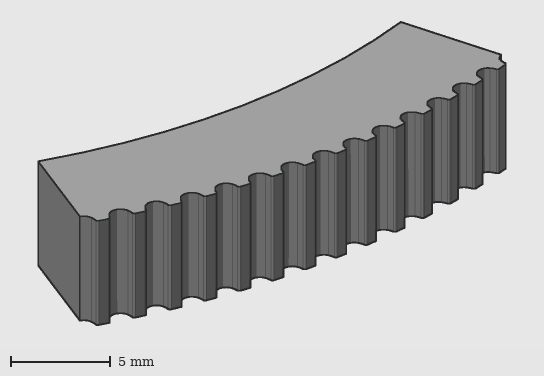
import cadquery as cq
import math

sweep_angle = 36.0
inner_radius = 37.5
outer_radius = 44.31
height = 6.0

pitch_count = 14
groove_radius = 0.56
groove_depth = 0.75
flank_radius = 1.0
flank_centre_offset = 0.38
lip_radius = 0.13

pitch_angle = sweep_angle / pitch_count
groove_centre_radius = outer_radius - groove_depth + groove_radius


def polar(radius, angle):
    """Point at a radius and an angle in degrees from +X."""
    turn = math.radians(angle)
    return radius * math.cos(turn), radius * math.sin(turn)


def make_segment():
    middle_angle = sweep_angle / 2
    return (
        cq.Workplane("XY")
        .moveTo(*polar(inner_radius, 0))
        .lineTo(*polar(outer_radius, 0))
        .threePointArc(polar(outer_radius, middle_angle), polar(outer_radius, sweep_angle))
        .lineTo(*polar(inner_radius, sweep_angle))
        .threePointArc(polar(inner_radius, middle_angle), polar(inner_radius, 0))
        .close()
        .extrude(height)
    )


def along(start, end, distance):
    """Point at a distance from start on the line through start and end."""
    scale = distance / math.dist(start, end)
    return (
        start[0] + (end[0] - start[0]) * scale,
        start[1] + (end[1] - start[1]) * scale,
    )


def arc_middle(centre, radius, start, end):
    """Middle point of the short arc from start to end."""
    chord_middle = ((start[0] + end[0]) / 2, (start[1] + end[1]) / 2)
    return along(centre, chord_middle, radius)


def mirror(point):
    """Reflect a point across the groove's centreline."""
    return point[0], -point[1]


def make_groove(angle):
    """Cutter with a round floor, tangent curved flanks and lips rounded into the outer face."""
    origin = (0, 0)
    floor_centre = (groove_centre_radius, 0)
    flank_rise = math.sqrt((flank_radius - groove_radius) ** 2 - flank_centre_offset**2)
    flank_centre = (groove_centre_radius + flank_rise, -flank_centre_offset)

    flank_to_lip = flank_radius + lip_radius
    origin_to_lip = outer_radius - lip_radius
    origin_to_flank = math.dist(origin, flank_centre)
    lip_cosine = (origin_to_lip**2 + origin_to_flank**2 - flank_to_lip**2) / (
        2 * origin_to_lip * origin_to_flank
    )
    flank_direction = math.atan2(flank_centre[1], flank_centre[0])
    lip_direction = flank_direction + math.acos(lip_cosine)
    lip_centre = polar(origin_to_lip, math.degrees(lip_direction))

    floor_end = along(flank_centre, floor_centre, flank_radius)
    flank_end = along(flank_centre, lip_centre, flank_radius)
    mouth = along(origin, lip_centre, outer_radius)
    flank_middle = arc_middle(flank_centre, flank_radius, floor_end, flank_end)
    lip_middle = arc_middle(lip_centre, lip_radius, flank_end, mouth)
    cutter_corner = (outer_radius + groove_depth, mouth[1])

    return (
        cq.Workplane("XY")
        .moveTo(*mirror(floor_end))
        .threePointArc((outer_radius - groove_depth, 0), floor_end)
        .threePointArc(flank_middle, flank_end)
        .threePointArc(lip_middle, mouth)
        .lineTo(*cutter_corner)
        .lineTo(*mirror(cutter_corner))
        .lineTo(*mirror(mouth))
        .threePointArc(mirror(lip_middle), mirror(flank_end))
        .threePointArc(mirror(flank_middle), mirror(floor_end))
        .close()
        .extrude(height)
        .rotate((0, 0, 0), (0, 0, 1), angle)
    )


result = make_segment()
for groove in range(pitch_count + 1):
    result = result.cut(make_groove(groove * pitch_angle))